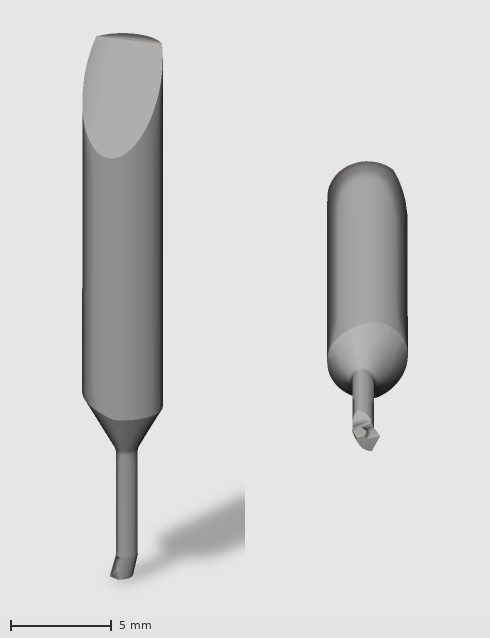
import cadquery as cq
import math

total_length = 28.0
shank_radius = 2.002

bevel_angle = 30.0
end_flat_y = 1.0

neck_x = 0.22
neck_half_width = 0.53
neck_half_depth = 0.73
arc_radius = (neck_half_width**2 + neck_half_depth**2) / (2 * neck_half_width)
arc_offset = arc_radius - neck_half_width

neck_top_z = 6.72
flare_fillet = 0.53
cone_angle = math.radians(30.0)
flare_rise = flare_fillet * math.sin(cone_angle)
flare_spread = flare_fillet * (1 - math.cos(cone_angle))
cone_end_radius = 4 * shank_radius

relief_y = 0.22
relief_start_z = 2.18
relief_end_z = relief_start_z - (neck_half_depth - relief_y)

bend_z = 1.32
head_tilt = 12.5
head_heel = (0.5, 0.15)

seat_top = (0.28, bend_z)
seat_middle = (-0.03, 0.55)
seat_bottom = (0.05, 0.15)

edge_top = (-0.3, bend_z)
edge_point = (-0.67, 0.0)


def flared_circle(center_x):
    """Round stem on one lens circle, with its fillet, cone and upper cylinder."""
    flare_radius = arc_radius + flare_spread
    flare_z = neck_top_z + flare_rise
    cone_end_z = flare_z + (cone_end_radius - flare_radius) / math.tan(cone_angle)
    half_angle = cone_angle / 2
    fillet_middle = (
        arc_radius + flare_fillet * (1 - math.cos(half_angle)),
        neck_top_z + flare_fillet * math.sin(half_angle),
    )
    return (
        cq.Workplane("XZ")
        .moveTo(0, bend_z)
        .lineTo(arc_radius, bend_z)
        .lineTo(arc_radius, neck_top_z)
        .threePointArc(fillet_middle, (flare_radius, flare_z))
        .lineTo(cone_end_radius, cone_end_z)
        .lineTo(cone_end_radius, total_length)
        .lineTo(0, total_length)
        .close()
        .revolve(360, (0, 0, 0), (0, 1, 0))
        .translate((center_x, 0, 0))
    )


def shank_and_neck():
    cylinder = cq.Workplane("XY").circle(shank_radius).extrude(total_length)
    left_arc = flared_circle(neck_x + arc_offset)
    right_arc = flared_circle(neck_x - arc_offset)
    return cylinder.intersect(left_arc).intersect(right_arc)


def end_bevel():
    drop = (end_flat_y + shank_radius) / math.tan(math.radians(bevel_angle))
    return (
        cq.Workplane("YZ")
        .polyline([
            (end_flat_y, total_length),
            (-shank_radius, total_length),
            (-shank_radius, total_length - drop),
        ])
        .close()
        .extrude(shank_radius, both=True)
    )


def bent_head():
    """Tilted continuation of the right-hand neck arc, cut to the head outline."""
    tilted_arc = (
        cq.Workplane("XY")
        .circle(arc_radius)
        .extrude(2 * bend_z, both=True)
        .rotate((0, 0, 0), (0, 1, 0), head_tilt)
        .translate((neck_x - arc_offset, 0, bend_z))
    )
    outline = (
        cq.Workplane("XZ")
        .polyline([
            seat_top,
            seat_middle,
            seat_bottom,
            head_heel,
            (neck_x + neck_half_width, bend_z),
        ])
        .close()
        .extrude(neck_half_depth, both=True)
    )
    return outline.intersect(tilted_arc)


def neck_relief():
    return (
        cq.Workplane("YZ")
        .polyline([
            (relief_y, 0),
            (relief_y, relief_end_z),
            (neck_half_depth, relief_start_z),
            (shank_radius, relief_start_z),
            (shank_radius, 0),
        ])
        .close()
        .extrude(shank_radius, both=True)
    )


def cutting_tip():
    """Wedge with its rake face at Y = 0 and clearance faces running back to the seat."""
    def at_y(point, y):
        return cq.Vector(point[0], y, point[1])

    rake = [at_y(p, 0) for p in (seat_top, edge_top, edge_point, seat_bottom, seat_middle)]
    rake_top, cut_top, cut_point, rake_bottom, rake_middle = rake
    back_top, back_middle, back_bottom = [
        at_y(p, -neck_half_depth) for p in (seat_top, seat_middle, seat_bottom)
    ]
    corners = [
        rake,
        [rake_top, back_top, back_middle, rake_middle],
        [rake_middle, back_middle, back_bottom, rake_bottom],
        [cut_top, rake_top, back_top],
        [cut_top, back_top, back_middle],
        [cut_top, back_middle, cut_point],
        [cut_point, back_middle, back_bottom],
        [cut_point, back_bottom, rake_bottom],
    ]
    faces = [cq.Face.makeFromWires(cq.Wire.makePolygon(loop, close=True)) for loop in corners]
    return cq.Solid.makeSolid(cq.Shell.makeShell(faces))


holder = shank_and_neck().cut(end_bevel()).union(bent_head()).cut(neck_relief())
tip = cutting_tip()

result = cq.Compound.makeCompound([holder.solids().val(), tip])